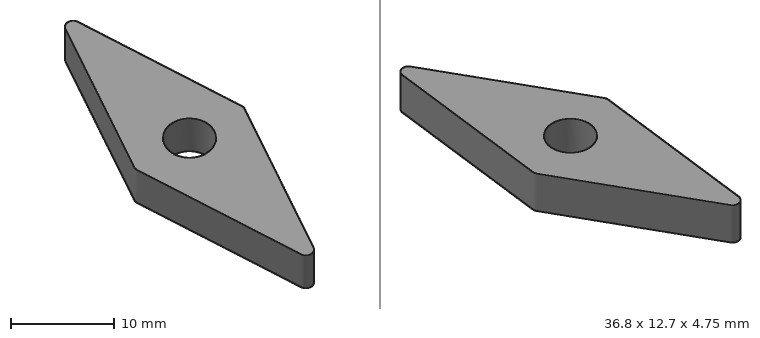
import cadquery as cq
import math

LENGTH = 36.8
WIDTH = 12.7
THICKNESS = 4.75
NOSE_ANGLE = math.radians(35)
HOLE_DIAMETER = 5.15

side = WIDTH / math.sin(NOSE_ANGLE)
slant_run = WIDTH / math.tan(NOSE_ANGLE)
sharp_length = side + slant_run

tip_loss_per_radius = 1 / math.tan(NOSE_ANGLE / 2) - 1
corner_radius = (sharp_length - LENGTH) / 2 / tip_loss_per_radius

tip_x = sharp_length / 2
blunt_x = tip_x - side
half_width = WIDTH / 2

plate = (
    cq.Workplane("XY")
    .polyline([
        (-tip_x, -half_width),
        (-blunt_x, -half_width),
        (tip_x, half_width),
        (blunt_x, half_width),
    ])
    .close()
    .extrude(THICKNESS)
)

rounded_plate = plate.edges("|Z").fillet(corner_radius)

result = rounded_plate.faces(">Z").workplane(origin=(0, 0, 0)).hole(HOLE_DIAMETER)